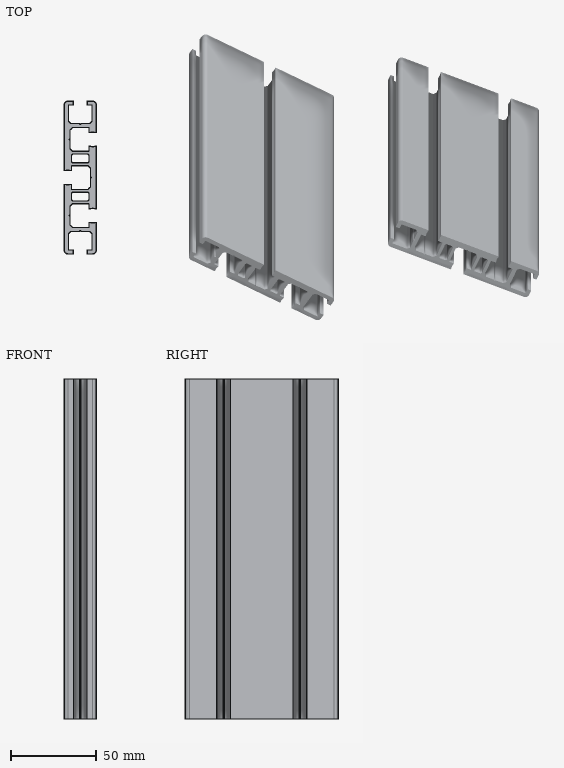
import cadquery as cq

thickness = 19.0
width = 90.0
length = 200.0
corner_radius = 2.5

mouth_width = 8.0
chamber_width = 13.8
chamber_chamfer = 1.5
end_lip = 2.5
end_slot_depth = 13.2
face_lip = 4.5
face_slot_depth = 15.5
face_slot_pitch = 22.5

groove_width = 1.0
groove_depth = 0.5

lip_groove_width = 2.8
lip_groove_depth = 0.2

hollow_height = 5.0
hollow_width = thickness - 2 * face_lip
hollow_chamfer = 0.5


def t_slot(lip, depth):
    """Slot cutter entering along -Y, with its mouth at the origin."""
    floor = -depth
    mouth = cq.Workplane("XY").rect(mouth_width, 2 * lip).extrude(length)
    chamber = (
        cq.Workplane("XY")
        .center(0, -(lip + depth) / 2)
        .rect(chamber_width, depth - lip)
        .extrude(length)
        .edges("|Z and <Y")
        .chamfer(chamber_chamfer)
    )
    groove = (
        cq.Workplane("XY")
        .moveTo(-groove_width / 2, floor)
        .lineTo(0, floor - groove_depth)
        .lineTo(groove_width / 2, floor)
        .close()
        .extrude(length)
    )
    return mouth.union(chamber).union(groove)


def lip_groove(side):
    """Arc-bottomed cutter sunk into the lip on one side of a face-slot mouth."""
    lip_end = side * mouth_width / 2
    middle = -face_lip / 2
    return (
        cq.Workplane("XY")
        .moveTo(lip_end, middle - lip_groove_width / 2)
        .threePointArc(
            (lip_end + side * lip_groove_depth, middle),
            (lip_end, middle + lip_groove_width / 2),
        )
        .close()
        .extrude(length)
    )


def placed(cutter, angle, x, y):
    """Turn a cutter about Z, then move its mouth to (x, y)."""
    return cutter.rotate((0, 0, 0), (0, 0, 1), angle).translate((x, y, 0))


body = (
    cq.Workplane("XY")
    .rect(thickness, width)
    .extrude(length)
    .edges("|Z")
    .fillet(corner_radius)
)

end_slot = t_slot(end_lip, end_slot_depth)
body = body.cut(placed(end_slot, 0, 0, width / 2))
body = body.cut(placed(end_slot, 180, 0, -width / 2))

face_slot = t_slot(face_lip, face_slot_depth)
face_slot = face_slot.union(lip_groove(-1)).union(lip_groove(1))
for side in (-1, 1):
    body = body.cut(placed(face_slot, -90, thickness / 2, side * face_slot_pitch))
body = body.cut(placed(face_slot, 90, -thickness / 2, 0))

for side in (-1, 1):
    hollow = (
        cq.Workplane("XY")
        .center(0, side * face_slot_pitch / 2)
        .rect(hollow_width, hollow_height)
        .extrude(length)
        .edges("|Z")
        .chamfer(hollow_chamfer)
    )
    body = body.cut(hollow)

result = body